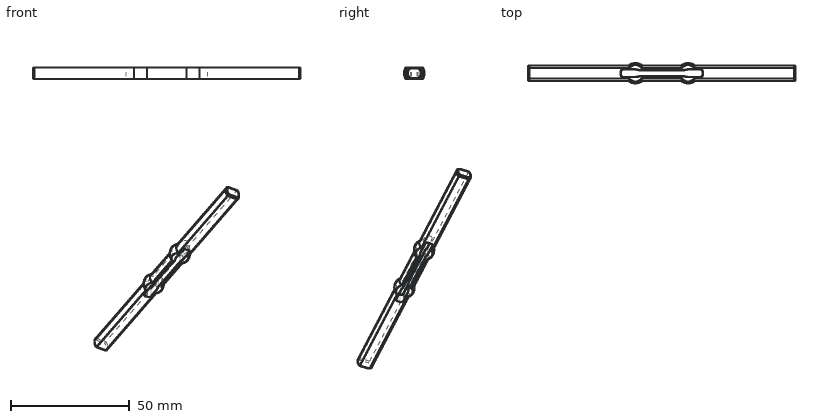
import cadquery as cq

bar_length = 112.5
bar_diameter = 6.6
flat_height = 5.0
end_chamfer = 0.6

bulge_diameter = 8.5
bulge_spacing = 22.2

slot_length = 34.3
slot_end_width = 3.2
slot_middle_width = 2.5
slot_middle_length = 18.6
slot_taper_length = 1.6
slot_corner_radius = 1.0


def flattened_bar():
    """Rod cut to the flat height, with its end edges bevelled."""
    rod = cq.Workplane("YZ").circle(bar_diameter / 2).extrude(bar_length / 2, both=True)
    bar = rod.intersect(cq.Workplane("XY").box(bar_length, bar_diameter, flat_height))
    for end in ("<X", ">X"):
        bar = bar.faces(end).chamfer(end_chamfer)
    return bar


def bulge(x):
    """Sphere centred on the bar axis, cut to the same flat height."""
    ball = cq.Workplane("XY").sphere(bulge_diameter / 2)
    slab = cq.Workplane("XY").box(bulge_diameter, bulge_diameter, flat_height)
    return ball.intersect(slab).translate((x, 0, 0))


def slot_end(side):
    """Wide slot end with rounded corners, tapering into the middle; side is -1 or 1."""
    taper_start = slot_middle_length / 2
    taper_end = taper_start + slot_taper_length
    outline = [
        (side * taper_start, slot_middle_width / 2),
        (side * taper_end, slot_end_width / 2),
        (side * slot_length / 2, slot_end_width / 2),
        (side * slot_length / 2, -slot_end_width / 2),
        (side * taper_end, -slot_end_width / 2),
        (side * taper_start, -slot_middle_width / 2),
    ]
    pocket = cq.Workplane("XY").polyline(outline).close().extrude(flat_height / 2, both=True)
    outer_corners = pocket.faces(">X" if side > 0 else "<X").edges("|Z")
    return outer_corners.fillet(slot_corner_radius)


result = flattened_bar()
for side in (-1, 1):
    result = result.union(bulge(side * bulge_spacing / 2))

result = result.cut(cq.Workplane("XY").box(slot_middle_length, slot_middle_width, flat_height))
for side in (-1, 1):
    result = result.cut(slot_end(side))